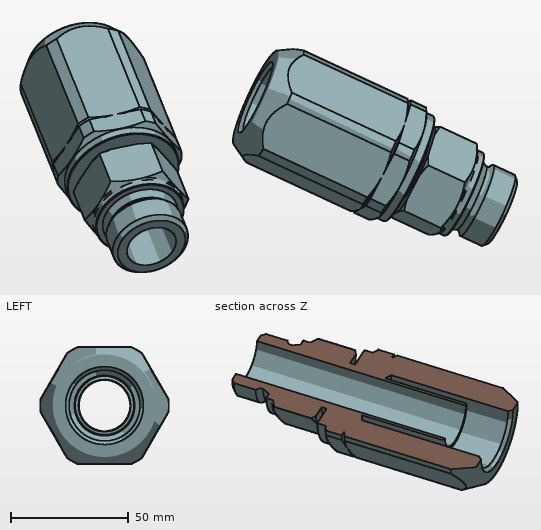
import cadquery as cq
import math

LENGTH = 117.2
HEXAGON_ACROSS = math.cos(math.radians(30))
CHAMFER_SLOPE = math.tan(math.radians(30))
COLLAR_EDGE = 0.4

SOCKET_FLATS = 50.0
SOCKET_CORNER_RADIUS = 27.48
SOCKET_END = 60.4
SOCKET_FACE_RADIUS = 22.0
SOCKET_CONE_ANGLE = math.radians(30)
SOCKET_FACE_FILLET = 0.6
SOCKET_BACK_BEVEL = 1.4

BODY_RIDGE_END = 67.7
BODY_COLLAR_RADIUS = 24.8
BODY_COLLAR_END = 73.1

NUT_START = 75.2
NUT_FLATS = 40.0
NUT_FRONT_BEVEL = 1.3
NUT_RIDGE_END = 94.0
NUT_COLLAR_RADIUS = 19.6
NUT_COLLAR_FILLET = 0.9
NUT_COLLAR_END = 99.4

NECK_RADIUS = 15.0
CONE_RADIUS = 16.6
CONE_END = 102.7
UNDERCUT_END = 103.4
UNDERCUT_FILLET = 1.4
FLANK_ANGLE = math.radians(55)
THREAD_RADIUS = 16.8
THREAD_BEVEL = 1.8

POCKET_RADIUS = 15.1
POCKET_MOUTH_RADIUS = 16.6
POCKET_MOUTH_DEPTH = 1.6
POCKET_DEPTH = 56.3
POCKET_FLOOR_RADIUS = 12.9
POCKET_FLOOR_SLOPE = math.tan(math.radians(30))
NIPPLE_START = 19.3
NIPPLE_RADIUS = 12.5
NIPPLE_FILLET = 1.2
BORE_RADIUS = 10.9
BORE_BEVEL = 0.2


def outline_from(start, radius):
    """Begin a half outline on the axis and climb to its first (x, radius) point."""
    return cq.Workplane("XY").moveTo(start, 0).lineTo(start, radius)


def turned(outline, end):
    """Bring a half outline back to the axis at its end and revolve it around X."""
    return outline.lineTo(end, 0).close().revolve(360, (0, 0, 0), (1, 0, 0))


def hexagon_bar(flats, start, end):
    """Hexagonal bar along X with flats on top and bottom."""
    corner_diameter = flats / HEXAGON_ACROSS
    return cq.Workplane("YZ").workplane(offset=start).polygon(6, corner_diameter).extrude(end - start)


def socket():
    cone_end = (SOCKET_CORNER_RADIUS - SOCKET_FACE_RADIUS) / math.tan(SOCKET_CONE_ANGLE)
    fillet_reach = SOCKET_FACE_FILLET * math.tan((math.pi / 2 - SOCKET_CONE_ANGLE) / 2)
    fillet_end = fillet_reach * math.cos(SOCKET_CONE_ANGLE)
    fillet_end_radius = SOCKET_FACE_RADIUS + fillet_reach * math.sin(SOCKET_CONE_ANGLE)
    outline = (
        outline_from(0, SOCKET_FACE_RADIUS - fillet_reach)
        .tangentArcPoint((fillet_end, fillet_end_radius), relative=False)
        .lineTo(cone_end, SOCKET_CORNER_RADIUS)
        .lineTo(SOCKET_END - SOCKET_BACK_BEVEL, SOCKET_CORNER_RADIUS)
        .lineTo(SOCKET_END, SOCKET_CORNER_RADIUS - SOCKET_BACK_BEVEL / CHAMFER_SLOPE)
    )
    return hexagon_bar(SOCKET_FLATS, 0, SOCKET_END).intersect(turned(outline, SOCKET_END))


def body():
    collar_start = BODY_RIDGE_END + (SOCKET_CORNER_RADIUS - BODY_COLLAR_RADIUS) * CHAMFER_SLOPE
    outline = (
        outline_from(SOCKET_END, SOCKET_CORNER_RADIUS)
        .lineTo(BODY_RIDGE_END, SOCKET_CORNER_RADIUS)
        .lineTo(collar_start, BODY_COLLAR_RADIUS)
        .lineTo(BODY_COLLAR_END - COLLAR_EDGE, BODY_COLLAR_RADIUS)
        .lineTo(BODY_COLLAR_END, BODY_COLLAR_RADIUS - COLLAR_EDGE)
    )
    return hexagon_bar(SOCKET_FLATS, SOCKET_END, BODY_COLLAR_END).intersect(turned(outline, BODY_COLLAR_END))


def union_nut():
    corner_radius = NUT_FLATS / HEXAGON_ACROSS / 2
    fillet_turn = math.pi / 2 - math.atan(CHAMFER_SLOPE)
    fillet_start_radius = NUT_COLLAR_RADIUS + NUT_COLLAR_FILLET * (1 - math.cos(fillet_turn))
    fillet_start = NUT_RIDGE_END + (corner_radius - fillet_start_radius) * CHAMFER_SLOPE
    fillet_end = fillet_start + NUT_COLLAR_FILLET * math.sin(fillet_turn)
    outline = (
        outline_from(NUT_START, corner_radius - NUT_FRONT_BEVEL / CHAMFER_SLOPE)
        .lineTo(NUT_START + NUT_FRONT_BEVEL, corner_radius)
        .lineTo(NUT_RIDGE_END, corner_radius)
        .lineTo(fillet_start, fillet_start_radius)
        .tangentArcPoint((fillet_end, NUT_COLLAR_RADIUS), relative=False)
        .lineTo(NUT_COLLAR_END - COLLAR_EDGE, NUT_COLLAR_RADIUS)
        .lineTo(NUT_COLLAR_END, NUT_COLLAR_RADIUS - COLLAR_EDGE)
    )
    return hexagon_bar(NUT_FLATS, NUT_START, NUT_COLLAR_END).intersect(turned(outline, NUT_COLLAR_END))


def stem():
    flank_start = UNDERCUT_END + UNDERCUT_FILLET * math.sin(FLANK_ANGLE)
    flank_radius = NECK_RADIUS + UNDERCUT_FILLET * (1 - math.cos(FLANK_ANGLE))
    thread_start = flank_start + (THREAD_RADIUS - flank_radius) / math.tan(FLANK_ANGLE)
    outline = (
        outline_from(BODY_COLLAR_END, NECK_RADIUS)
        .lineTo(NUT_COLLAR_END, NECK_RADIUS)
        .lineTo(NUT_COLLAR_END, CONE_RADIUS)
        .lineTo(CONE_END, NECK_RADIUS)
        .lineTo(UNDERCUT_END, NECK_RADIUS)
        .tangentArcPoint((flank_start, flank_radius), relative=False)
        .lineTo(thread_start, THREAD_RADIUS)
        .lineTo(LENGTH - THREAD_BEVEL, THREAD_RADIUS)
        .lineTo(LENGTH, THREAD_RADIUS - THREAD_BEVEL)
    )
    return turned(outline, LENGTH)


def hose_pocket():
    floor_end = POCKET_DEPTH + (POCKET_RADIUS - POCKET_FLOOR_RADIUS) * POCKET_FLOOR_SLOPE
    outline = (
        outline_from(0, POCKET_MOUTH_RADIUS)
        .lineTo(POCKET_MOUTH_DEPTH, POCKET_RADIUS)
        .lineTo(POCKET_DEPTH, POCKET_RADIUS)
        .lineTo(floor_end, POCKET_FLOOR_RADIUS)
    )
    return turned(outline, floor_end)


def nipple():
    length = SOCKET_END - NIPPLE_START
    tube = cq.Workplane("YZ").workplane(offset=NIPPLE_START).circle(NIPPLE_RADIUS).extrude(length)
    return tube.faces("<X").edges().fillet(NIPPLE_FILLET)


def bore():
    outline = (
        outline_from(NIPPLE_START, BORE_RADIUS + BORE_BEVEL)
        .lineTo(NIPPLE_START + BORE_BEVEL, BORE_RADIUS)
        .lineTo(LENGTH, BORE_RADIUS)
    )
    return turned(outline, LENGTH)


outside = socket().union(body()).union(union_nut()).union(stem())
result = outside.cut(hose_pocket()).union(nipple()).cut(bore())